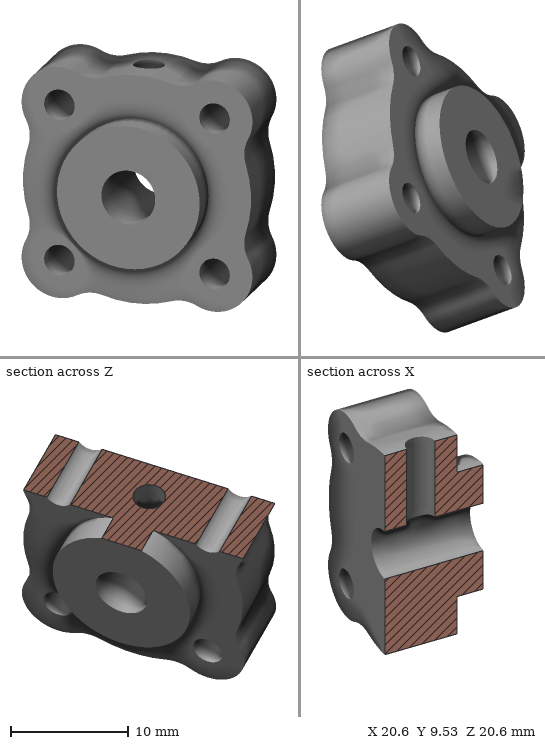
import cadquery as cq
import math

width = 20.57
plate_thickness = 7.0
boss_height = 2.53
boss_diameter = 12.71
bore_diameter = 4.8
lobe_radius = 3.37
side_radius = 10.16
blend_radius = 3.0
screw_hole_diameter = 2.72

lobe_offset = width / 2 - lobe_radius
lobe_distance = math.hypot(lobe_offset, lobe_offset)
total_depth = plate_thickness + boss_height


def polar(radius, angle, center=(0, 0)):
    """Point at a radius and an angle in degrees around a centre."""
    turn = math.radians(angle)
    return (center[0] + radius * math.cos(turn), center[1] + radius * math.sin(turn))


blend_distance = side_radius + blend_radius
lobe_to_blend = lobe_radius + blend_radius
blend_angle = math.degrees(math.acos(
    (lobe_distance**2 + blend_distance**2 - lobe_to_blend**2) / (2 * lobe_distance * blend_distance)
))
lobe_half_sweep = 180 - math.degrees(math.acos(
    (lobe_distance**2 + lobe_to_blend**2 - blend_distance**2) / (2 * lobe_distance * lobe_to_blend)
))


def plate_outline():
    """Closed outline of four lobes, eight blends and four bulging sides."""
    outline = cq.Workplane("XZ").moveTo(*polar(side_radius, blend_angle - 45))
    for diagonal in (45, 135, 225, 315):
        lobe = polar(lobe_distance, diagonal)
        blend_in = polar(blend_distance, diagonal - blend_angle)
        blend_out = polar(blend_distance, diagonal + blend_angle)
        turn_in = 180 + diagonal - (blend_angle + lobe_half_sweep) / 2
        turn_out = 180 + diagonal + (blend_angle + lobe_half_sweep) / 2
        outline = (
            outline
            .threePointArc(polar(side_radius, diagonal - 45),
                           polar(side_radius, diagonal - blend_angle))
            .threePointArc(polar(blend_radius, turn_in, blend_in),
                           polar(lobe_radius, diagonal - lobe_half_sweep, lobe))
            .threePointArc(polar(lobe_radius, diagonal, lobe),
                           polar(lobe_radius, diagonal + lobe_half_sweep, lobe))
            .threePointArc(polar(blend_radius, turn_out, blend_out),
                           polar(side_radius, diagonal + blend_angle))
        )
    return outline.close()


plate = plate_outline().extrude(-plate_thickness)
boss = cq.Workplane("XZ").circle(boss_diameter / 2).extrude(boss_height)

bore = (
    cq.Workplane("XZ", origin=(0, plate_thickness, 0))
    .circle(bore_diameter / 2)
    .extrude(total_depth)
)

corner_holes = (
    cq.Workplane("XZ")
    .rect(2 * lobe_offset, 2 * lobe_offset, forConstruction=True)
    .vertices()
    .circle(screw_hole_diameter / 2)
    .extrude(-plate_thickness)
)

set_screw_hole = (
    cq.Workplane("XY", origin=(0, plate_thickness / 2, 0))
    .circle(screw_hole_diameter / 2)
    .extrude(width / 2)
)

result = plate.union(boss).cut(bore).cut(corner_holes).cut(set_screw_hole)